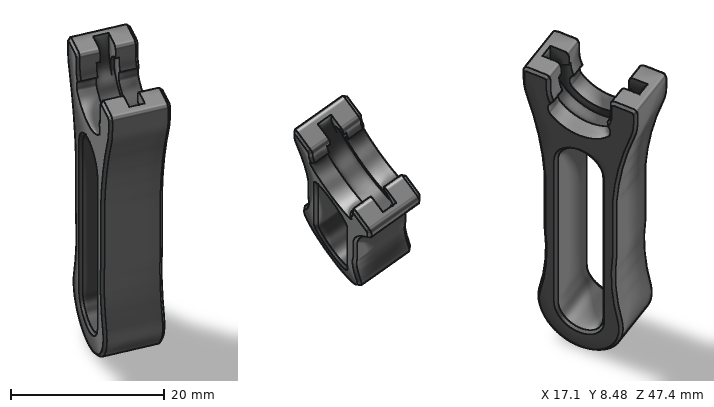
import cadquery as cq
import math

total_length = 47.35
fork_width = 17.08
thickness = 8.48
edge_chamfer = 0.4

arm_height = 2.3
head_radius = fork_width / 2
mouth_radius = 4.48
seat_radius = 6.0
slot_radius = 7.25
arm_tip_fillet = 0.75
top_z = arm_height
bottom_z = top_z - total_length
opening_margin = 1.0

lip_z = -2.0
relief_widest_x = 4.65
relief_widest_z = -3.15
relief_end_z = -4.1

slot_width = 2.14
groove_width = 3.1
groove_corner_radius = 2.75
groove_corner_z = -2.5

shoulder_z = -2.86
neck_half_width = 5.4
neck_top_z = -15.97
neck_bottom_z = -25.97
shoulder_flank_radius = 50.0
foot_flank_radius = 32.0
foot_radius = 6.35
foot_center_z = bottom_z + foot_radius
foot_joint_z = -37.35

window_radius = 3.35
window_top_z = -9.05
window_bottom_z = -41.72


def x_on_circle(radius, height):
    """Half width of a circle at a height measured from its centre."""
    return math.sqrt(radius**2 - height**2)


def extrude_across(profile, width):
    """Extrude an XZ profile symmetrically about the Y = 0 plane."""
    return profile.extrude(width / 2, both=True)


def u_profile(radius):
    """Slot with a round bottom about the fork centre, open above the arm tips."""
    open_z = top_z + opening_margin
    return (
        cq.Workplane("XZ")
        .moveTo(-radius, open_z)
        .lineTo(-radius, 0)
        .threePointArc((0, -radius), (radius, 0))
        .lineTo(radius, open_z)
        .close()
    )


def make_blank():
    """Handle outline with a round foot, a straight neck and a wide head."""
    shoulder_x = x_on_circle(head_radius, shoulder_z)
    head_mid_z = shoulder_z / 2
    head_mid_x = x_on_circle(head_radius, head_mid_z)
    foot_joint_x = x_on_circle(foot_radius, foot_joint_z - foot_center_z)
    profile = (
        cq.Workplane("XZ")
        .moveTo(-head_radius, top_z)
        .lineTo(head_radius, top_z)
        .lineTo(head_radius, 0)
        .threePointArc((head_mid_x, head_mid_z), (shoulder_x, shoulder_z))
        .radiusArc((neck_half_width, neck_top_z), -shoulder_flank_radius)
        .lineTo(neck_half_width, neck_bottom_z)
        .radiusArc((foot_joint_x, foot_joint_z), -foot_flank_radius)
        .threePointArc((0, bottom_z), (-foot_joint_x, foot_joint_z))
        .radiusArc((-neck_half_width, neck_bottom_z), -foot_flank_radius)
        .lineTo(-neck_half_width, neck_top_z)
        .radiusArc((-shoulder_x, shoulder_z), -shoulder_flank_radius)
        .threePointArc((-head_mid_x, head_mid_z), (-head_radius, 0))
        .close()
    )
    return extrude_across(profile, thickness)


def make_window():
    window_length = window_top_z - window_bottom_z
    profile = (
        cq.Workplane("XZ")
        .center(0, (window_top_z + window_bottom_z) / 2)
        .slot2D(window_length, 2 * window_radius, 90)
    )
    return extrude_across(profile, thickness)


def make_seat():
    """Round seat below the lips, with a relief arc on each side."""
    lip_x = x_on_circle(mouth_radius, lip_z)
    relief_end_x = x_on_circle(seat_radius, relief_end_z)
    profile = (
        cq.Workplane("XZ")
        .moveTo(-lip_x, lip_z)
        .threePointArc((-relief_widest_x, relief_widest_z), (-relief_end_x, relief_end_z))
        .threePointArc((0, -seat_radius), (relief_end_x, relief_end_z))
        .threePointArc((relief_widest_x, relief_widest_z), (lip_x, lip_z))
        .close()
    )
    return extrude_across(profile, thickness)


def make_groove():
    """Wide groove: the slot's bottom arc running into a rounded upper corner on each side."""
    center_distance = slot_radius - groove_corner_radius
    corner_x = x_on_circle(center_distance, groove_corner_z)
    corner_top_z = groove_corner_z + groove_corner_radius
    touch_scale = slot_radius / center_distance
    touch_x = corner_x * touch_scale
    touch_z = groove_corner_z * touch_scale
    side_x = corner_x + groove_corner_radius
    profile = (
        cq.Workplane("XZ")
        .moveTo(-corner_x, corner_top_z)
        .threePointArc((-side_x, groove_corner_z), (-touch_x, touch_z))
        .threePointArc((0, -slot_radius), (touch_x, touch_z))
        .threePointArc((side_x, groove_corner_z), (corner_x, corner_top_z))
        .close()
    )
    return extrude_across(profile, groove_width)


body = make_blank().cut(extrude_across(u_profile(mouth_radius), thickness))
body = body.faces(">Z").edges("|Y").fillet(arm_tip_fillet)
body = body.cut(make_window())
body = body.faces("<Y or >Y").chamfer(edge_chamfer)

body = body.cut(make_seat())
body = body.cut(extrude_across(u_profile(slot_radius), slot_width))
result = body.cut(make_groove())